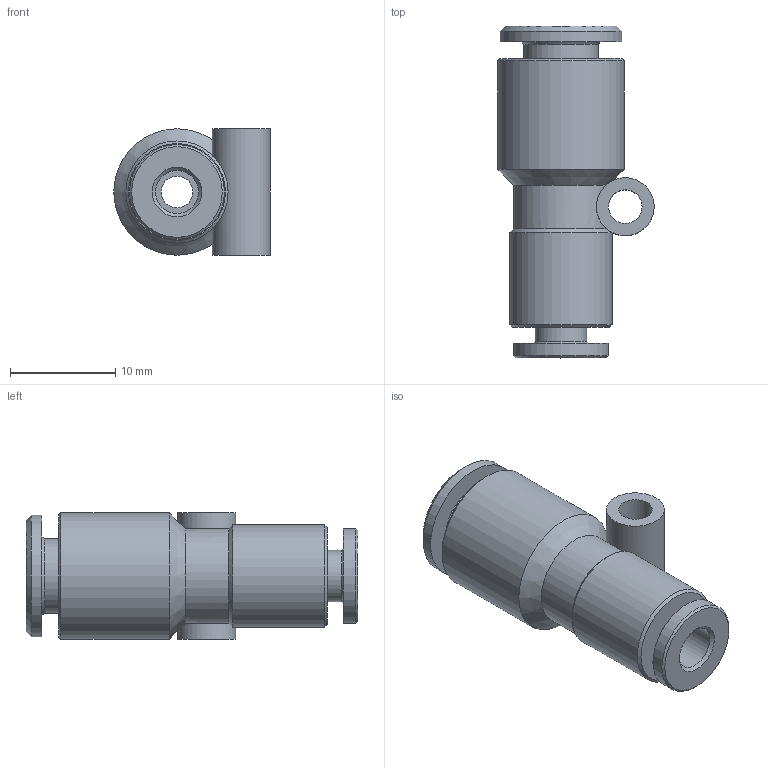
import cadquery as cq

total_length = 31.5

small_collar_radius = 4.5
small_collar_thickness = 1.4
small_collar_chamfer = 0.2
small_stem_radius = 2.45
small_stem_flare = 0.15

small_body_radius = 4.85
small_body_start = 2.9
small_body_end = 11.9
small_body_chamfer = 0.25

waist_radius = 4.5
waist_end = 16.4

large_body_radius = 6.0
large_body_end = 28.4
large_body_chamfer = 0.2

large_collar_radius = 5.75
large_collar_thickness = 1.5
large_collar_chamfer = 0.5
large_stem_radius = 3.55
large_stem_flare_width = 0.2
large_stem_flare_length = 0.25

passage_radius = 1.5
socket_radius = 2.05
socket_mouth_chamfer = 0.3
socket_depth = small_body_end

lug_radius = 2.75
lug_hole_radius = 1.6
lug_height = 2 * large_body_radius
lug_x = waist_radius + lug_hole_radius
lug_y = 14.35


def revolve_about_y(points):
    """Revolve a closed (radius, y) outline about the Y axis."""
    return cq.Workplane("XY").polyline(points).close().revolve(360, (0, 0, 0), (0, 1, 0))


def make_body():
    waist_start = small_body_end + small_body_radius - waist_radius
    cone_end = waist_end + large_body_radius - waist_radius
    large_collar_start = total_length - large_collar_thickness
    return revolve_about_y([
        (0, 0),
        (small_collar_radius - small_collar_chamfer, 0),
        (small_collar_radius, small_collar_chamfer),
        (small_collar_radius, small_collar_thickness),
        (small_stem_radius + small_stem_flare, small_collar_thickness),
        (small_stem_radius, small_collar_thickness + small_stem_flare),
        (small_stem_radius, small_body_start),
        (small_body_radius - small_body_chamfer, small_body_start),
        (small_body_radius, small_body_start + small_body_chamfer),
        (small_body_radius, small_body_end),
        (waist_radius, waist_start),
        (waist_radius, waist_end),
        (large_body_radius, cone_end),
        (large_body_radius, large_body_end - large_body_chamfer),
        (large_body_radius - large_body_chamfer, large_body_end),
        (large_stem_radius, large_body_end),
        (large_stem_radius, large_collar_start - large_stem_flare_length),
        (large_stem_radius + large_stem_flare_width, large_collar_start),
        (large_collar_radius, large_collar_start),
        (large_collar_radius, total_length - large_collar_chamfer),
        (large_collar_radius - large_collar_chamfer, total_length),
        (0, total_length),
    ])


def make_bore():
    return revolve_about_y([
        (0, 0),
        (socket_radius + socket_mouth_chamfer, 0),
        (socket_radius, socket_mouth_chamfer),
        (socket_radius, socket_depth),
        (passage_radius, socket_depth),
        (passage_radius, total_length),
        (0, total_length),
    ])


def lug_cylinder(radius):
    """Cylinder on the lug axis, centred on Z = 0."""
    base = cq.Workplane("XY", origin=(lug_x, lug_y, -lug_height / 2))
    return base.circle(radius).extrude(lug_height)


result = make_body().union(lug_cylinder(lug_radius))
result = result.cut(lug_cylinder(lug_hole_radius))
result = result.cut(make_bore())